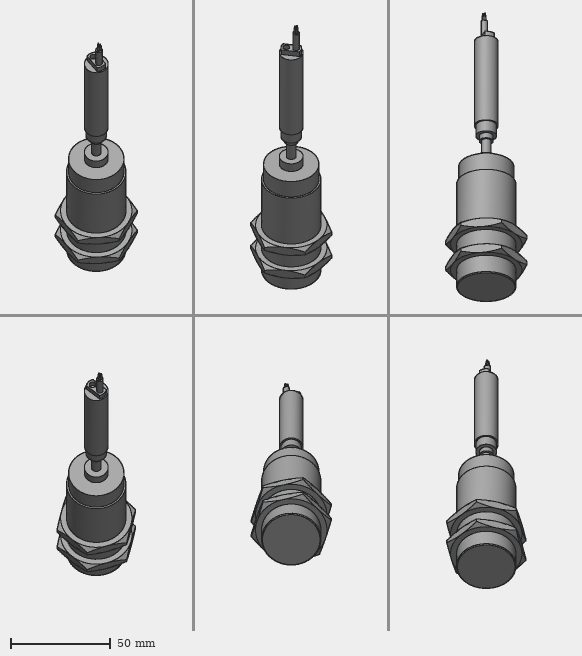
import cadquery as cq
import math

body_diameter = 30.0
body_top = 60.0
body_edge_chamfer = 0.5
cap_diameter = 28.0
cap_top = 70.0
collar_diameter = 12.0
collar_top = 75.0

link_cable_diameter = 5.0
link_cable_top = 85.0

ferrule_diameter = 7.0
ferrule_top = 88.0
neck_diameter = 10.5
neck_top = 94.0
tube_diameter = 12.0
tube_top = 143.0

block_width = 5.0
block_height = 3.0
block_top = tube_top + block_height
outlet_offset = 2.5

cable_diameter = 3.3
cable_top = block_top + 10.0
wire_count = 3
wire_diameter = 1.0
wire_top = cable_top + 3.0
wire_circle_radius = 0.65
conductor_diameter = 0.4
conductor_top = wire_top + 1.5

nut_across_flats = 36.0
nut_across_corners = nut_across_flats / math.cos(math.radians(30))
nut_thickness = 5.0
nut_bottoms = (10.0, 25.0)
nut_bevel_angle = 30.0


def cylinder(diameter, bottom, top, x=0.0, y=0.0):
    """Vertical cylinder between two heights."""
    base = cq.Workplane("XY", origin=(x, y, bottom))
    return base.circle(diameter / 2).extrude(top - bottom)


def make_housing():
    body = cylinder(body_diameter, 0, body_top).faces("<Z").chamfer(body_edge_chamfer)
    cap = cylinder(cap_diameter, body_top, cap_top)
    collar = cylinder(collar_diameter, cap_top, collar_top)
    return body.union(cap).union(collar)


def make_nut(bottom):
    """Hexagonal nut with its corners bevelled conically on both faces."""
    hexagon = cq.Workplane("XY").polygon(6, nut_across_corners).extrude(nut_thickness)
    face_radius = nut_across_flats / 2
    corner_radius = nut_across_corners / 2
    bevel_height = (corner_radius - face_radius) * math.tan(math.radians(nut_bevel_angle))
    bevel_envelope = (
        cq.Workplane("XZ")
        .moveTo(0, 0)
        .lineTo(face_radius, 0)
        .lineTo(corner_radius, bevel_height)
        .lineTo(corner_radius, nut_thickness - bevel_height)
        .lineTo(face_radius, nut_thickness)
        .lineTo(0, nut_thickness)
        .close()
        .revolve(360, (0, 0, 0), (0, 1, 0))
    )
    return hexagon.intersect(bevel_envelope).translate((0, 0, bottom))


def make_inline_tube():
    link_cable = cylinder(link_cable_diameter, collar_top, link_cable_top)
    ferrule = cylinder(ferrule_diameter, link_cable_top, ferrule_top)
    neck = cylinder(neck_diameter, ferrule_top, neck_top)
    tube = cylinder(tube_diameter, neck_top, tube_top)
    return link_cable.union(ferrule).union(neck).union(tube)


def make_outlet_block():
    """Round block cut to parallel flats, with the unused cable outlet left open."""
    slab = (
        cq.Workplane("XY", origin=(0, 0, tube_top))
        .rect(neck_diameter, block_width)
        .extrude(block_height)
    )
    block = cylinder(neck_diameter, tube_top, block_top).intersect(slab)
    open_outlet = cylinder(cable_diameter, tube_top, block_top, x=-outlet_offset)
    return block.cut(open_outlet)


def make_outgoing_cable():
    cable = cylinder(cable_diameter, block_top, cable_top, x=outlet_offset)
    for index in range(wire_count):
        angle = math.pi + index * 2 * math.pi / wire_count
        x = outlet_offset + wire_circle_radius * math.cos(angle)
        y = wire_circle_radius * math.sin(angle)
        cable = cable.union(cylinder(wire_diameter, cable_top, wire_top, x, y))
        cable = cable.union(cylinder(conductor_diameter, wire_top, conductor_top, x, y))
    return cable


result = make_housing()
for nut_bottom in nut_bottoms:
    result = result.union(make_nut(nut_bottom))
result = result.union(make_inline_tube())
result = result.union(make_outlet_block())
result = result.union(make_outgoing_cable())